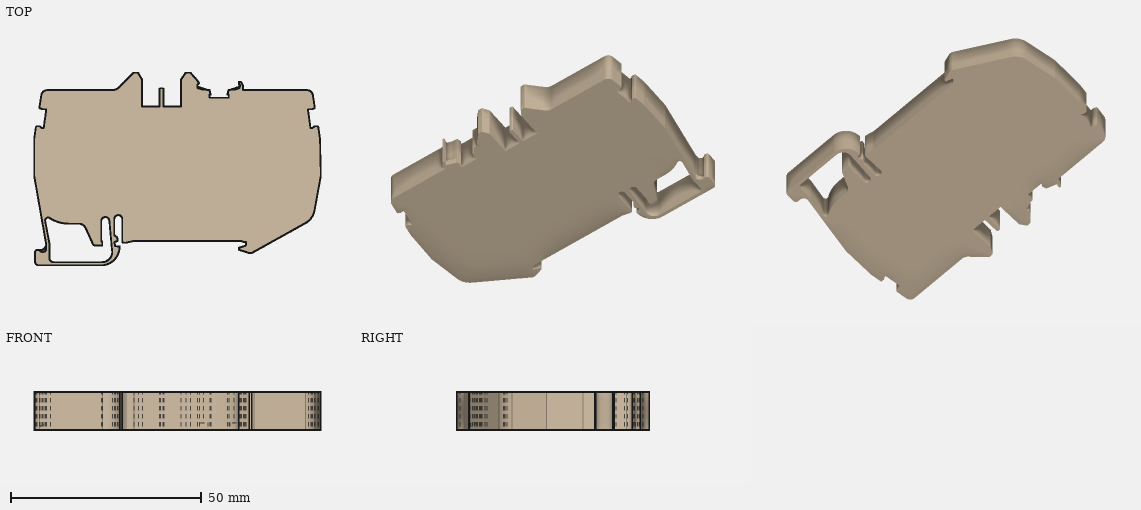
import cadquery as cq
import math


thickness = 10.0
height = 50.71
half_width = 37.61
bulge = 0.21
widest_y = 23.6
shoulder_y = 46.14
lower_right_start = (36.16, 14.47)
lower_right_end = (33.75, 11.1)
lower_right_radius = 4.84

shoulder_flat_x = 34.1
shoulder_side = (35.75, 44.6)
shoulder_radius = 1.7
lip = (36.25, 41.41)
flank_top_x = 37.16
flank_top_y = 36.6
flank_chamfer = 0.24
flank_end_y = 33.2
notch_roof_y = 41.0
notch_roof_outer_x = 35.4
notch_roof_inner_x = 34.43
notch_floor_y = 36.14
notch_floor_inner_x = 35.1
notch_floor_outer_x = 35.57
notch_ridge_x = 36.1

channel_x = -4.09
channel_width = 10.23
channel_floor_y = 41.82
fin_width = 1.09
fin_top_y = 46.59
fin_chamfer = 0.2
tower_side_y = 48.9
left_peak_start_x = -11.45
left_peak_end_x = -10.27
right_peak_start_x = 2.27
right_peak_end_x = 3.48
tower_slope_angle = 45.0
tower_foot_radius = 2.34

window_x = 11.02
window_width = 5.0
window_floor_y = 44.09
window_lip_y = 44.89
window_lip_depth = 0.34
barb_root_x = 5.34
barb_top_y = 48.64
barb_tip = (5.80, 47.84)
barb_bottom_y = 47.48
hook_root_x = 16.48
hook_outer_x = 17.39
hook_nose = 0.23
hook_nose_y = 47.5
hook_top_y = 48.3
hook_top_end_x = 16.68
hook_back_y = 46.9
hook_back_radius = 2.0
ramp_slope = 1 / 3
ramp_run = 1.55
ledge_ramp_run = 2.7

ledge_height = 1.9
foot_ledge_low_height = 0.9
foot_ledge_radius = 1.55

rail_seat_y = 6.39
rail_seat_left_x = -11.45
rail_seat_right_x = 16.8
seat_heel_x = -13.5
seat_heel_y = 5.93
seat_heel_round = 0.43
claw_heel_end = (20.1, 3.5)
claw_heel_middle = (19.66, 3.27)
claw_heel_start = (18.98, 3.22)
claw_tip_x = 16.25
claw_tip_bottom_y = 4.1
claw_tip_top_y = 4.66
claw_notch_x = 18.1
claw_notch_bottom_y = 5.15
claw_notch_top_y = 6.15
claw_notch_round = 0.25
claw_step_x = 17.5

foot_x = -37.39
foot_wall = 0.9
foot_corner_x = -36.26
foot_corner_radius = 1.05
foot_side_top_y = 3.4
foot_top_y = 4.09
foot_top_start_x = -36.8
foot_top_end_x = -36.2
foot_top_radius = 0.7
neck_x = -34.43
neck_y = 5.45
neck_bottom_y = 4.2
nook_radius = 0.94
foot_end_x = -19.67
foot_end_radius = 4.9
foot_barb = (-15.1, 4.98)
foot_step = (-16.25, 5.1)

pocket_wall_x = -33.52
pocket_wall_top_y = 5.68
pocket_wall_bottom_y = 1.82
pocket_corner_x = -32.5
pocket_corner_radius = 1.0
pocket_left_top = (-34.66, 11.7)
pocket_crest_end = (-33.3, 12.27)
pocket_crest_radius = 0.76
pocket_roof_y = 10.95
pocket_roof_start_x = -28.5
pocket_roof_start_radius = 9.39
pocket_roof_end_x = -25.8
pocket_roof_end_radius = 1.96
tooth_flank_top = (-24.1, 9.89)
tooth_flank_bottom = (-22.3, 5.93)
tooth_tip_radius = 0.85
tooth_tip_y = 5.23
tooth_tip_start_x = -21.4
tooth_tip_end_x = -19.66
tooth_step_y = 6.36
relief_left = (-19.89, 11.9)
relief_right = (-17.84, 11.7)
relief_radius = 1.04
spring_inner_bottom = (-17.16, 4.2)
spring_corner_x = -19.6
spring_corner_radius = 2.64

slit_left_x = -16.48
slit_right_x = -14.43
slit_arc_y = 12.18
slit_radius = (slit_right_x - slit_left_x) / 2
slit_barb_top_y = 7.98
slit_barb_shoulder = (-15.77, 7.4)
slit_barb_tip = (-15.57, 6.64)
slit_barb_heel = (-15.8, 6.36)
slit_barb_bottom_y = 6.1

cut_margin = 1.0


def start(x, y):
    return cq.Workplane("XY").moveTo(x, y)


def extrude(sketch, depth=thickness):
    return sketch.close().extrude(depth)


def box(x_min, x_max, y_min, y_max):
    return (
        cq.Workplane("XY")
        .box(x_max - x_min, y_max - y_min, thickness, centered=False)
        .translate((x_min, y_min, 0))
    )


def mirrored(point):
    return (-point[0], point[1])


def add_left_side(sketch):
    """Foot top, neck and left side up to the shoulder."""
    return (
        sketch.lineTo(foot_x, foot_side_top_y)
        .radiusArc((foot_top_start_x, foot_top_y), foot_top_radius)
        .lineTo(foot_top_end_x, foot_top_y)
        .radiusArc((neck_x, neck_bottom_y), -nook_radius)
        .lineTo(neck_x, neck_y)
        .lineTo(-half_width, widest_y)
        .lineTo(-half_width, flank_end_y)
        .lineTo(-flank_top_x, flank_top_y - flank_chamfer)
        .lineTo(-flank_top_x + flank_chamfer, flank_top_y)
        .lineTo(*mirrored(lip))
        .lineTo(*mirrored(shoulder_side))
        .radiusArc((-shoulder_flat_x, shoulder_y), shoulder_radius)
    )


def add_towers(sketch):
    """Two towers on either side of the marker channel, the right one with a barb."""
    channel_left = channel_x - channel_width / 2
    channel_right = channel_x + channel_width / 2
    slope = math.radians(tower_slope_angle)
    left_foot_x = left_peak_start_x - (height - shoulder_y) / math.tan(slope)
    tangent = tower_foot_radius * math.tan(slope / 2)
    round_end = (
        left_foot_x + tangent * math.cos(slope),
        shoulder_y + tangent * math.sin(slope),
    )
    return (
        sketch.lineTo(left_foot_x - tangent, shoulder_y)
        .radiusArc(round_end, -tower_foot_radius)
        .lineTo(left_peak_start_x, height)
        .lineTo(left_peak_end_x, height)
        .lineTo(channel_left, tower_side_y)
        .lineTo(channel_right, tower_side_y)
        .lineTo(right_peak_start_x, height)
        .lineTo(right_peak_end_x, height)
        .lineTo(barb_root_x, barb_top_y)
        .lineTo(*barb_tip)
        .lineTo(barb_root_x, barb_bottom_y)
        .lineTo(barb_root_x, shoulder_y)
    )


def add_right_side(sketch):
    """Right shoulder and side down to the sloped lower right edge."""
    return (
        sketch.lineTo(shoulder_flat_x, shoulder_y)
        .radiusArc(shoulder_side, shoulder_radius)
        .lineTo(*lip)
        .lineTo(flank_top_x - flank_chamfer, flank_top_y)
        .lineTo(flank_top_x, flank_top_y - flank_chamfer)
        .lineTo(half_width, flank_end_y)
        .lineTo(half_width + bulge, widest_y)
        .lineTo(*lower_right_start)
        .radiusArc(lower_right_end, lower_right_radius)
    )


def add_underside(sketch):
    """Rail claw, rail seat, mouth of the slit and rounded end of the foot."""
    return (
        sketch.lineTo(*claw_heel_end)
        .lineTo(*claw_heel_middle)
        .lineTo(*claw_heel_start)
        .lineTo(claw_tip_x, claw_tip_bottom_y)
        .lineTo(claw_tip_x, claw_tip_top_y)
        .lineTo(claw_notch_x - claw_notch_round, claw_notch_bottom_y)
        .lineTo(claw_notch_x, claw_notch_bottom_y + claw_notch_round)
        .lineTo(claw_notch_x, claw_notch_top_y)
        .lineTo(claw_step_x, claw_notch_top_y)
        .lineTo(rail_seat_right_x, rail_seat_y)
        .lineTo(rail_seat_left_x, rail_seat_y)
        .lineTo(seat_heel_x, seat_heel_y)
        .lineTo(slit_right_x + seat_heel_round, seat_heel_y)
        .radiusArc((slit_right_x, seat_heel_y + seat_heel_round), seat_heel_round)
        .lineTo(slit_left_x, slit_barb_bottom_y)
        .lineTo(*foot_step)
        .lineTo(*foot_barb)
        .radiusArc((foot_end_x, 0), foot_end_radius)
    )


def make_blank():
    """Outer profile before the notches, channel, window, pocket and slit are cut."""
    sketch = start(foot_corner_x, 0).radiusArc((foot_x, foot_wall), foot_corner_radius)
    for add_section in (add_left_side, add_towers, add_right_side, add_underside):
        sketch = add_section(sketch)
    return extrude(sketch)


def make_left_notch():
    """Undercut below the left shoulder."""
    outside_x = -half_width - cut_margin
    sketch = (
        start(outside_x, lip[1])
        .lineTo(*mirrored(lip))
        .lineTo(-notch_roof_outer_x, notch_roof_y)
        .lineTo(-notch_roof_inner_x, notch_roof_y)
        .lineTo(-notch_floor_inner_x, notch_floor_y)
        .lineTo(-notch_floor_outer_x, notch_floor_y)
        .lineTo(-notch_ridge_x, flank_top_y)
        .lineTo(outside_x, flank_top_y)
    )
    return extrude(sketch)


def make_channel():
    left = channel_x - channel_width / 2
    return box(left, left + channel_width, channel_floor_y, height + cut_margin)


def make_fin():
    left = channel_x - fin_width / 2
    fin = box(left, left + fin_width, channel_floor_y, fin_top_y)
    return fin.faces(">Y").edges("|Z").chamfer(fin_chamfer)


def make_window():
    """Label window with an inward lip on both of its sides."""
    left = window_x - window_width / 2
    right = window_x + window_width / 2
    top = shoulder_y + cut_margin
    sketch = (
        start(right, window_floor_y)
        .lineTo(left, window_floor_y)
        .lineTo(left, window_lip_y)
        .lineTo(left + window_lip_depth, window_lip_y)
        .lineTo(left, shoulder_y)
        .lineTo(left, top)
        .lineTo(right, top)
        .lineTo(right, shoulder_y)
        .lineTo(right - window_lip_depth, window_lip_y)
        .lineTo(right, window_lip_y)
    )
    return extrude(sketch)


def make_hook():
    """Small label hook with its nose towards the window."""
    sketch = (
        start(hook_root_x, shoulder_y)
        .lineTo(hook_root_x, hook_nose_y)
        .lineTo(hook_root_x - hook_nose, hook_nose_y)
        .lineTo(hook_root_x - hook_nose, hook_top_y)
        .lineTo(hook_top_end_x, hook_top_y)
        .radiusArc((hook_outer_x, hook_back_y), hook_back_radius)
        .lineTo(hook_outer_x, shoulder_y)
    )
    return extrude(sketch)


def make_ramp(root_x, direction, run, depth):
    """Wedge on the shoulder, falling from root_x in the given X direction."""
    sketch = (
        start(root_x, shoulder_y)
        .lineTo(root_x, shoulder_y + run * ramp_slope)
        .lineTo(root_x + direction * run, shoulder_y)
    )
    return extrude(sketch, depth)


def make_foot_pocket():
    """Opening that leaves thin spring walls around the foot."""
    sketch = (
        start(pocket_wall_x, pocket_wall_bottom_y)
        .lineTo(pocket_wall_x, pocket_wall_top_y)
        .lineTo(*pocket_left_top)
        .radiusArc(pocket_crest_end, pocket_crest_radius)
        .radiusArc((pocket_roof_start_x, pocket_roof_y), -pocket_roof_start_radius)
        .lineTo(pocket_roof_end_x, pocket_roof_y)
        .radiusArc(tooth_flank_top, pocket_roof_end_radius)
        .lineTo(*tooth_flank_bottom)
        .radiusArc((tooth_tip_start_x, tooth_tip_y), -tooth_tip_radius)
        .lineTo(tooth_tip_end_x, tooth_tip_y)
        .lineTo(tooth_tip_end_x, tooth_step_y)
        .lineTo(relief_left[0], tooth_step_y)
        .lineTo(*relief_left)
        .radiusArc(relief_right, relief_radius)
        .lineTo(*spring_inner_bottom)
        .radiusArc((spring_corner_x, foot_wall), spring_corner_radius)
        .lineTo(pocket_corner_x, foot_wall)
        .radiusArc((pocket_wall_x, pocket_wall_bottom_y), pocket_corner_radius)
    )
    return extrude(sketch)


def make_slit():
    """Round-ended slit with a barb on its foot side."""
    sketch = (
        start(*foot_step)
        .lineTo(slit_left_x, slit_barb_bottom_y)
        .lineTo(*slit_barb_heel)
        .lineTo(*slit_barb_tip)
        .lineTo(*slit_barb_shoulder)
        .lineTo(slit_left_x, slit_barb_top_y)
        .lineTo(slit_left_x, slit_arc_y)
        .threePointArc(
            (slit_left_x + slit_radius, slit_arc_y + slit_radius),
            (slit_right_x, slit_arc_y),
        )
        .lineTo(slit_right_x, foot_step[1])
    )
    return extrude(sketch)


def make_foot_ledge():
    """Rounded web in the nook above the foot, its top falling towards -X."""
    web_base_y = neck_bottom_y - nook_radius
    web = extrude(
        start(foot_top_end_x, foot_top_y)
        .radiusArc((neck_x, neck_y), -foot_ledge_radius)
        .lineTo(neck_x, web_base_y)
        .lineTo(foot_top_end_x, web_base_y),
        ledge_height,
    )
    space_above_slope = (
        cq.Workplane("XZ")
        .moveTo(neck_x, ledge_height)
        .lineTo(foot_top_end_x, foot_ledge_low_height)
        .lineTo(foot_top_end_x, ledge_height)
        .close()
        .extrude(-height)
    )
    return web.cut(space_above_slope)


left_notch = make_left_notch()
right_notch = left_notch.mirror("YZ")

result = make_blank().cut(left_notch).cut(right_notch)
result = result.cut(make_channel()).union(make_fin())
result = result.cut(make_window()).union(make_hook())
for root_x, direction in ((barb_root_x, 1), (hook_root_x, -1)):
    result = result.union(make_ramp(root_x, direction, ramp_run, thickness))
    result = result.union(make_ramp(root_x, direction, ledge_ramp_run, ledge_height))
result = result.cut(make_foot_pocket()).cut(make_slit())
result = result.union(make_foot_ledge())